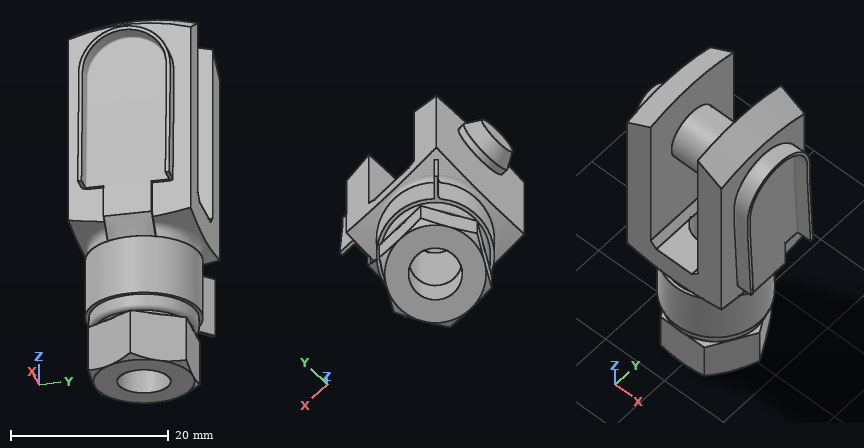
import math

import cadquery as cq

TOTAL_HEIGHT = 48.95

FORK_WIDTH = 16.0
SLOT_WIDTH = 8.0
SLOT_FLOOR_Z = 22.95
SLOT_CHAMFER = 1.0
CROWN_RADIUS = 27.4
CROWN_ANGLE = 30.0
BLOCK_BOTTOM_Z = 19.0
SHOULDER_ANGLE = 15.0
STEM_DIAMETER = 14.0
STEM_END_FILLET = 0.6
THREAD_BORE = 6.8

NUT_ACROSS_FLATS = 12.85
NUT_HEIGHT = 6.55
NUT_CHAMFER_ANGLE = 30.0
NUT_FACE_DIAMETER = 12.65
NUT_FACE_HEIGHT = 0.45

PIN_DIAMETER = 8.0
PIN_Z = 39.1
PIN_TIP_X = -11.0
PIN_TIP_LENGTH = 2.05
PIN_TIP_ANGLE = 30.0

SHEET = 0.5
CUP_DIAMETER = 11.95
CUP_DEPTH = 2.7
CUP_BEND_RADIUS = 0.75
CHANNEL_BEND_Z = 35.45
CHANNEL_END_Z = 23.7
CLIP_MAX_X = 11.2
TONGUE_WIDTH = 6.25
TONGUE_BEND_Z = 19.43
BAND_BOTTOM_Z = 8.95
BAND_HEIGHT = 8.0
EAR_ANGLE = 135.0
EAR_TIP_RADIUS = 10.45
EAR_FILLET = 0.6

HALF_FORK = FORK_WIDTH / 2
STEM_RADIUS = STEM_DIAMETER / 2
STEM_END_Z = NUT_HEIGHT + NUT_FACE_HEIGHT
BAND_TOP_Z = BAND_BOTTOM_Z + BAND_HEIGHT
BAND_RADIUS = STEM_RADIUS + SHEET
CHANNEL_SHIFT = CLIP_MAX_X - HALF_FORK - CUP_DEPTH


def tan(degrees):
    return math.tan(math.radians(degrees))


def fork_turned_envelope():
    """Turned stem, its fillet under the block and the conical shoulder, about Z."""
    rim_radius = FORK_WIDTH
    fillet = HALF_FORK - STEM_RADIUS
    shoulder_rise = (rim_radius - HALF_FORK) * tan(SHOULDER_ANGLE)
    return (
        cq.Workplane("XZ")
        .moveTo(0, STEM_END_Z)
        .lineTo(STEM_RADIUS - STEM_END_FILLET, STEM_END_Z)
        .radiusArc((STEM_RADIUS, STEM_END_Z + STEM_END_FILLET), -STEM_END_FILLET)
        .lineTo(STEM_RADIUS, BLOCK_BOTTOM_Z - fillet)
        .radiusArc((HALF_FORK, BLOCK_BOTTOM_Z), fillet)
        .lineTo(rim_radius, BLOCK_BOTTOM_Z + shoulder_rise)
        .lineTo(rim_radius, TOTAL_HEIGHT)
        .lineTo(0, TOTAL_HEIGHT)
        .close()
        .revolve(360, (0, 0, 0), (0, 1, 0))
    )


def fork_crown():
    """Solid about an X axis whose two cones slope the tine tops outwards and crown them along Y."""
    axis_z = TOTAL_HEIGHT - CROWN_RADIUS
    half_slot = SLOT_WIDTH / 2
    outer_radius = CROWN_RADIUS - (HALF_FORK - half_slot) * tan(CROWN_ANGLE)
    return (
        cq.Workplane("XZ")
        .polyline([
            (-HALF_FORK, 0),
            (-HALF_FORK, outer_radius),
            (-half_slot, CROWN_RADIUS),
            (half_slot, CROWN_RADIUS),
            (HALF_FORK, outer_radius),
            (HALF_FORK, 0),
        ])
        .close()
        .revolve(360, (0, 0, 0), (1, 0, 0))
        .translate((0, 0, axis_z))
    )


def fork_slot():
    """Slot between the tines, open at the top, with chamfered floor corners."""
    height = TOTAL_HEIGHT - SLOT_FLOOR_Z
    return (
        cq.Workplane("XY")
        .workplane(offset=SLOT_FLOOR_Z)
        .rect(SLOT_WIDTH, FORK_WIDTH)
        .extrude(height)
        .edges("|Y and <Z")
        .chamfer(SLOT_CHAMFER)
    )


def thread_bore():
    """Bore on the stem axis, from the nut up to the slot floor."""
    return cq.Workplane("XY").circle(THREAD_BORE / 2).extrude(SLOT_FLOOR_Z)


def pin_hole():
    return (
        cq.Workplane("YZ")
        .workplane(offset=-HALF_FORK)
        .center(0, PIN_Z)
        .circle(PIN_DIAMETER / 2)
        .extrude(FORK_WIDTH)
    )


def make_fork():
    block = cq.Workplane("XY").rect(FORK_WIDTH, FORK_WIDTH).extrude(TOTAL_HEIGHT)
    crown_zone = fork_crown().union(
        cq.Workplane("XY").rect(FORK_WIDTH, FORK_WIDTH).extrude(SLOT_FLOOR_Z)
    )
    return (
        block.intersect(fork_turned_envelope())
        .intersect(crown_zone)
        .cut(fork_slot())
        .cut(thread_bore())
        .cut(pin_hole())
    )


def make_nut():
    """Hexagon nut with corners on the X axis, a chamfered lower end and a round upper face."""
    flat_radius = NUT_ACROSS_FLATS / 2
    corner_radius = NUT_ACROSS_FLATS / math.sqrt(3)
    chamfer_rise = (corner_radius - flat_radius) * tan(NUT_CHAMFER_ANGLE)
    hexagon = cq.Workplane("XY").polygon(6, 2 * corner_radius).extrude(NUT_HEIGHT)
    chamfer_envelope = (
        cq.Workplane("XZ")
        .polyline([
            (0, 0),
            (flat_radius, 0),
            (corner_radius, chamfer_rise),
            (corner_radius, NUT_HEIGHT),
            (0, NUT_HEIGHT),
        ])
        .close()
        .revolve(360, (0, 0, 0), (0, 1, 0))
    )
    upper_face = (
        cq.Workplane("XY")
        .workplane(offset=NUT_HEIGHT)
        .circle(NUT_FACE_DIAMETER / 2)
        .extrude(NUT_FACE_HEIGHT)
    )
    return hexagon.intersect(chamfer_envelope).union(upper_face).cut(thread_bore())


def pin_shaft():
    """Pin from its tapered tip to the back of the clip cup."""
    radius = PIN_DIAMETER / 2
    tip_radius = radius - PIN_TIP_LENGTH * tan(PIN_TIP_ANGLE)
    return (
        cq.Workplane("XZ")
        .polyline([
            (PIN_TIP_X, 0),
            (PIN_TIP_X, tip_radius),
            (PIN_TIP_X + PIN_TIP_LENGTH, radius),
            (HALF_FORK + SHEET, radius),
            (HALF_FORK + SHEET, 0),
        ])
        .close()
        .revolve(360, (0, 0, 0), (1, 0, 0))
        .translate((0, 0, PIN_Z))
    )


def cup_half_section():
    """L-shaped sheet section from the cup axis out to its rim, as (x, radius)."""
    radius = CUP_DIAMETER / 2
    back = HALF_FORK
    rim = HALF_FORK + CUP_DEPTH
    inner_bend = CUP_BEND_RADIUS - SHEET
    return (
        cq.Workplane("XY")
        .moveTo(back, 0)
        .lineTo(back, radius - CUP_BEND_RADIUS)
        .radiusArc((back + CUP_BEND_RADIUS, radius), CUP_BEND_RADIUS)
        .lineTo(rim, radius)
        .lineTo(rim, radius - SHEET)
        .lineTo(back + CUP_BEND_RADIUS, radius - SHEET)
        .radiusArc((back + SHEET, radius - CUP_BEND_RADIUS), -inner_bend)
        .lineTo(back + SHEET, 0)
        .close()
    )


def clip_cup():
    """Half-round cup around the pin end, open downwards."""
    return (
        cup_half_section()
        .revolve(180, (0, 0, 0), (1, 0, 0))
        .translate((0, 0, PIN_Z))
    )


def clip_channel():
    """Channel below the cup: a straight stretch, then one that leans away from the fork."""
    straight = cup_half_section().extrude(PIN_Z - CHANNEL_BEND_Z).translate((0, 0, CHANNEL_BEND_Z))
    lean_path = cq.Workplane("XZ").lineTo(CHANNEL_SHIFT, CHANNEL_END_Z - CHANNEL_BEND_Z)
    leaning = cup_half_section().sweep(lean_path).translate((0, 0, CHANNEL_BEND_Z))
    half = straight.union(leaning)
    return half.union(half.mirror("XZ"))


def clip_tongue():
    """Flat strip below the channel, then a bent stretch that curves onto the band."""
    inner_x = HALF_FORK + CHANNEL_SHIFT
    outer_x = inner_x + SHEET
    half_width = TONGUE_WIDTH / 2
    inner_foot_x = math.sqrt(STEM_RADIUS**2 - half_width**2)
    outer_foot_x = math.sqrt(BAND_RADIUS**2 - half_width**2)
    strip = (
        cq.Workplane("XY")
        .box(SHEET, TONGUE_WIDTH, CHANNEL_END_Z - TONGUE_BEND_Z, centered=(False, True, False))
        .translate((inner_x, 0, TONGUE_BEND_Z))
    )
    bent = (
        cq.Workplane("XY")
        .workplane(offset=BAND_TOP_Z)
        .moveTo(inner_foot_x, -half_width)
        .lineTo(outer_foot_x, -half_width)
        .threePointArc((BAND_RADIUS, 0), (outer_foot_x, half_width))
        .lineTo(inner_foot_x, half_width)
        .threePointArc((STEM_RADIUS, 0), (inner_foot_x, -half_width))
        .close()
        .workplane(offset=TONGUE_BEND_Z - BAND_TOP_Z)
        .moveTo(inner_x, -half_width)
        .lineTo(outer_x, -half_width)
        .lineTo(outer_x, half_width)
        .lineTo(inner_x, half_width)
        .close()
        .loft(ruled=True)
    )
    return strip.union(bent)


def clip_band():
    """Ring around the stem with a radial ear, filleted to the ring on its -Y side."""
    ring = cq.Workplane("XY").circle(BAND_RADIUS).circle(STEM_RADIUS).extrude(BAND_HEIGHT)
    root_radius = STEM_RADIUS + SHEET / 2
    ear = (
        cq.Workplane("XY")
        .box(EAR_TIP_RADIUS - root_radius, SHEET, BAND_HEIGHT, centered=(False, True, False))
        .translate((root_radius, 0, 0))
    )
    corner = cq.selectors.NearestToPointSelector((BAND_RADIUS, SHEET / 2, BAND_HEIGHT / 2))
    return (
        ring.union(ear)
        .edges("|Z")
        .edges(corner)
        .fillet(EAR_FILLET)
        .rotate((0, 0, 0), (0, 0, 1), EAR_ANGLE)
        .translate((0, 0, BAND_BOTTOM_Z))
    )


def make_clip_pin():
    """Pin fixed in its spring clip, as one body."""
    return (
        pin_shaft()
        .union(clip_cup())
        .union(clip_channel())
        .union(clip_tongue())
        .union(clip_band())
    )


fork = make_fork()
nut = make_nut()
clip_pin = make_clip_pin()

result = cq.Compound.makeCompound([*fork.solids().vals(), *nut.solids().vals(), *clip_pin.solids().vals()])